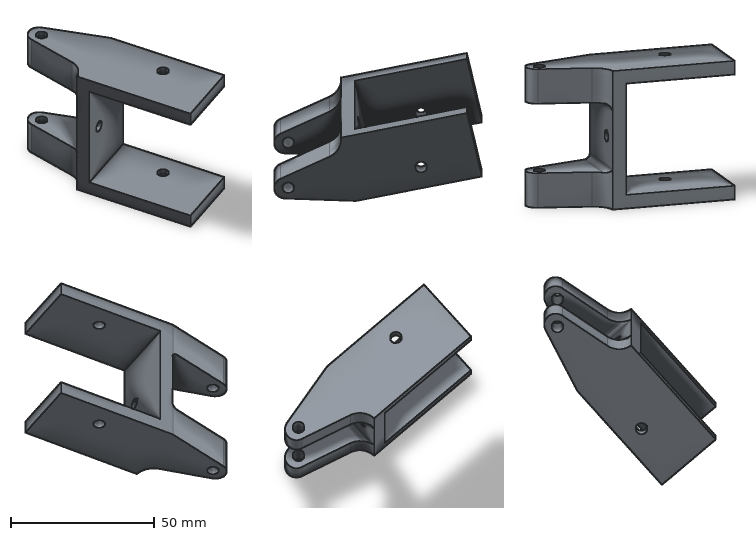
import cadquery as cq
import math

length = 72.0
width = 25.0
height = 50.0

flange_thickness = 5.0
web_front = 27.0
web_thickness = 5.0
web_back = web_front + web_thickness
lug_gap = height / 2
gap_corner_radius = 2.0

tip_radius = 4.0
tip_y = 15.0
concave_start_x = 21.45

hole_diameter = 4.0
lug_hole_x = 5.0
flange_hole_x = 52.0
flange_hole_y = 17.0
web_hole_y = 7.0

through_margin = 0.7


def plan_body():
    """Full-height block with the tapered, round-nosed outline."""
    reach_x = web_front - tip_radius
    reach_y = width - tip_y
    taper = math.atan2(reach_y, reach_x) - math.asin(tip_radius / math.hypot(reach_x, reach_y))
    tangent_x = tip_radius * (1 - math.sin(taper))
    tangent_offset = tip_radius * math.cos(taper)
    upper_tangent = (tangent_x, tip_y + tangent_offset)
    lower_tangent = (tangent_x, tip_y - tangent_offset)
    concave_start_y = lower_tangent[1] - (concave_start_x - tangent_x) * math.tan(taper)
    return (
        cq.Workplane("XY")
        .moveTo(web_front, 0)
        .lineTo(length, 0)
        .lineTo(length, width)
        .lineTo(web_front, width)
        .lineTo(*upper_tangent)
        .threePointArc((0, tip_y), lower_tangent)
        .lineTo(concave_start_x, concave_start_y)
        .tangentArcPoint((web_front, 0), relative=False)
        .close()
        .extrude(height)
    )


def box_between(x_start, x_end, z_size):
    """Cutting block across the full width, centred on mid-height."""
    return (
        cq.Workplane("XY")
        .box(x_end - x_start, width + 2 * through_margin, z_size)
        .translate(((x_start + x_end) / 2, width / 2, height / 2))
    )


def lug_slot():
    """Gap between the lugs, rounded where it meets the web."""
    return box_between(-through_margin, web_front, lug_gap).edges("|Y and >X").fillet(gap_corner_radius)


def flange_slot():
    """Square-cornered gap between the flanges."""
    return box_between(web_back, length + through_margin, height - 2 * flange_thickness)


def vertical_holes():
    """Holes through both lugs and both flanges."""
    centres = [(lug_hole_x, tip_y), (flange_hole_x, flange_hole_y)]
    return cq.Workplane("XY").pushPoints(centres).circle(hole_diameter / 2).extrude(height)


def web_hole():
    """Hole along X through the web."""
    return (
        cq.Workplane("YZ", origin=(web_front, web_hole_y, height / 2))
        .circle(hole_diameter / 2)
        .extrude(web_thickness)
    )


result = plan_body().cut(lug_slot()).cut(flange_slot()).cut(vertical_holes()).cut(web_hole())